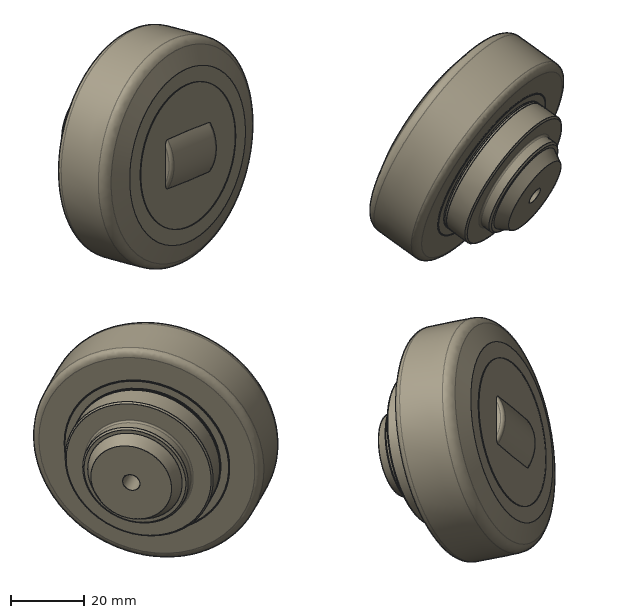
import cadquery as cq
import math

total_length = 37.5
stem_start = 3.55
flange_start = 7.15
flange_end = 14.0
lip_start = 14.6
wheel_start = 15.0
wheel_width = 19.9
wheel_end = wheel_start + wheel_width

nose_front_diameter = 22.9
nose_back_diameter = 26.85
stem_diameter = 30.0
stem_chamfer = 0.5
root_fillet = 0.5
hole_diameter = 4.9
hole_depth = 9.8

flange_diameter = 42.1
flange_chamfer = 0.45
neck_diameter = 42.0

wheel_diameter = 65.5
crown_radius = 500.1
inner_edge_fillet = 2.0
outer_edge_fillet = 3.1
outer_face_diameter = 50.3
outer_cone_angle = 20.0

groove_outer_diameter = 47.0
groove_width = 0.25
groove_depth = 0.25
cover_diameter = 41.25
cover_thickness = 0.25

roller_diameter = 24.75
roller_length = 20.0
roller_fillet = 1.0


def crown_drop(distance):
    """How far a barrelled surface falls at a distance from its middle."""
    return crown_radius - math.sqrt(crown_radius**2 - distance**2)


def revolve_about_x(outline):
    return outline.close().revolve(360, (0, 0, 0), (1, 0, 0))


def cylinder_along_x(start, end, diameter):
    return cq.Workplane("YZ", origin=(start, 0, 0)).circle(diameter / 2).extrude(end - start)


def make_stem():
    nose = revolve_about_x(
        cq.Workplane("XY")
        .lineTo(0, nose_front_diameter / 2)
        .lineTo(stem_start, nose_back_diameter / 2)
        .lineTo(stem_start, 0)
    )
    stem = cylinder_along_x(stem_start, flange_start, stem_diameter).faces("<X").chamfer(stem_chamfer)
    flange = cylinder_along_x(flange_start, flange_end, flange_diameter).faces("<X").chamfer(flange_chamfer)
    stem_radius = stem_diameter / 2
    arc_offset = root_fillet * (1 - math.sqrt(0.5))
    root = revolve_about_x(
        cq.Workplane("XY")
        .moveTo(flange_start - root_fillet, 0)
        .lineTo(flange_start - root_fillet, stem_radius)
        .threePointArc(
            (flange_start - arc_offset, stem_radius + arc_offset),
            (flange_start, stem_radius + root_fillet),
        )
        .lineTo(flange_start, 0)
    )
    neck = cylinder_along_x(flange_end, lip_start, neck_diameter)
    lip = cylinder_along_x(lip_start, wheel_start, flange_diameter)
    return nose.union(stem).union(root).union(flange).union(neck).union(lip)


def make_wheel():
    tread_radius = wheel_diameter / 2
    outer_face_radius = outer_face_diameter / 2
    cone_length = (tread_radius - outer_face_radius) * math.tan(math.radians(outer_cone_angle))
    tread_end = wheel_end - cone_length
    tread_middle = (wheel_start + tread_end) / 2
    edge_radius = tread_radius - crown_drop(tread_end - tread_middle)
    wheel = revolve_about_x(
        cq.Workplane("XY")
        .moveTo(wheel_start, 0)
        .lineTo(wheel_start, edge_radius)
        .threePointArc((tread_middle, tread_radius), (tread_end, edge_radius))
        .lineTo(wheel_end, outer_face_radius)
        .lineTo(wheel_end, 0)
    )
    wheel = wheel.faces("<X").edges().fillet(inner_edge_fillet)
    corner_margin = 0.05
    tread_corner = cq.selectors.BoxSelector(
        (tread_end - corner_margin, -wheel_diameter, -wheel_diameter),
        (tread_end + corner_margin, wheel_diameter, wheel_diameter),
    )
    return wheel.edges(tread_corner).fillet(outer_edge_fillet)


def make_seal_groove():
    groove_radius = groove_outer_diameter / 2
    return revolve_about_x(
        cq.Workplane("XY")
        .moveTo(wheel_start, groove_radius - groove_width)
        .lineTo(wheel_start, groove_radius)
        .lineTo(wheel_start + groove_depth, groove_radius)
    )


def make_cross_roller():
    roller_radius = roller_diameter / 2
    half_length = roller_length / 2
    end_radius = roller_radius - crown_drop(half_length)
    roller = (
        cq.Workplane("XY")
        .moveTo(0, -half_length)
        .lineTo(end_radius, -half_length)
        .threePointArc((roller_radius, 0), (end_radius, half_length))
        .lineTo(0, half_length)
        .close()
        .revolve(360, (0, 0, 0), (0, 1, 0))
    )
    roller = roller.faces("<Y or >Y").edges().fillet(roller_fillet)
    return roller.translate((total_length - roller_radius, 0, 0))


cover = cylinder_along_x(wheel_end, wheel_end + cover_thickness, cover_diameter)
centre_hole = cylinder_along_x(0, hole_depth, hole_diameter)

result = (
    make_wheel()
    .cut(make_seal_groove())
    .union(make_stem())
    .union(cover)
    .union(make_cross_roller())
    .cut(centre_hole)
)